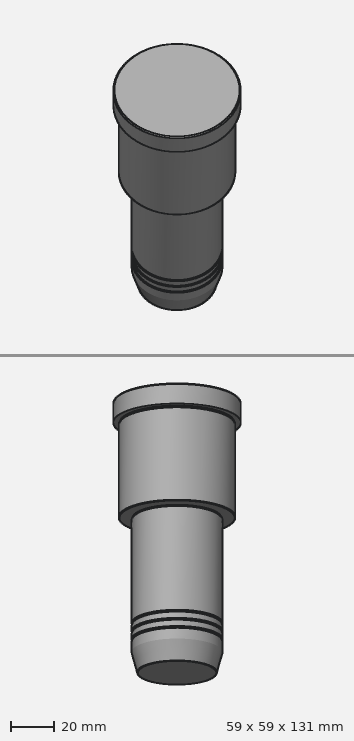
import cadquery as cq

total_height = 131.0

head_radius = 59.0 / 2
head_height = 10.0
head_chamfer = 0.7

body_radius = 54.0 / 2
body_bottom = 74.9
body_chamfer = 0.4

shank_radius = 42.0 / 2

relief_depth = 0.5
neck_height = 0.7
head_slope_height = relief_depth
body_slope_height = 0.3

tip_height = 10.0
tip_radius = 18.3
tip_chamfer = 0.3

groove_count = 3
groove_pitch = 3.9
lowest_groove_height = 15.6
groove_half_width = 0.5
groove_depth = 0.4

head_bottom = total_height - head_height
body_neck_bottom = body_bottom - neck_height
head_neck_bottom = head_bottom - neck_height


def turned_blank():
    """Revolve the stepped outline about Z, without the ring grooves."""
    taper_per_height = (shank_radius - tip_radius) / tip_height
    return (
        cq.Workplane("XZ")
        .lineTo(tip_radius - tip_chamfer, 0)
        .lineTo(tip_radius + taper_per_height * tip_chamfer, tip_chamfer)
        .lineTo(shank_radius, tip_height)
        .lineTo(shank_radius, body_neck_bottom - body_slope_height)
        .lineTo(shank_radius - relief_depth, body_neck_bottom)
        .lineTo(shank_radius - relief_depth, body_bottom)
        .lineTo(body_radius - body_chamfer, body_bottom)
        .lineTo(body_radius, body_bottom + body_chamfer)
        .lineTo(body_radius, head_neck_bottom - head_slope_height)
        .lineTo(body_radius - relief_depth, head_neck_bottom)
        .lineTo(body_radius - relief_depth, head_bottom)
        .lineTo(head_radius, head_bottom)
        .lineTo(head_radius, total_height - head_chamfer)
        .lineTo(head_radius - head_chamfer, total_height)
        .lineTo(0, total_height)
        .close()
        .revolve(360, (0, 0, 0), (0, 1, 0))
    )


def ring_groove(height):
    """Ring of triangular section that cuts one groove centred at the given height."""
    return (
        cq.Workplane("XZ")
        .moveTo(shank_radius, height - groove_half_width)
        .lineTo(shank_radius - groove_depth, height)
        .lineTo(shank_radius, height + groove_half_width)
        .close()
        .revolve(360, (0, 0, 0), (0, 1, 0))
    )


result = turned_blank()
for index in range(groove_count):
    result = result.cut(ring_groove(lowest_groove_height + index * groove_pitch))